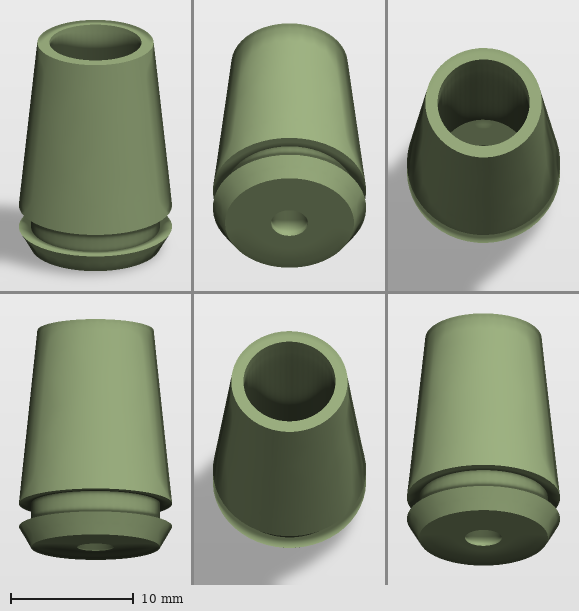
import cadquery as cq
import math

height = 18.0
outer_diameter = 12.5
top_diameter = 9.49
groove_diameter = 10.51
bore_diameter = 7.5
hole_diameter = 3.0
body_base_z = 3.62
flange_half_angle = 30.0

outer_radius = outer_diameter / 2
top_radius = top_diameter / 2
groove_radius = groove_diameter / 2

flange_height = (outer_radius - groove_radius) / math.tan(math.radians(flange_half_angle))

bore_depth = height - body_base_z

body = (
    cq.Workplane("XZ")
    .lineTo(groove_radius, 0)
    .lineTo(outer_radius, flange_height)
    .lineTo(groove_radius, flange_height)
    .lineTo(groove_radius, body_base_z)
    .lineTo(outer_radius, body_base_z)
    .lineTo(top_radius, height)
    .lineTo(0, height)
    .close()
    .revolve(360, (0, 0, 0), (0, 1, 0))
)

result = body.faces(">Z").workplane().cboreHole(hole_diameter, bore_diameter, bore_depth)